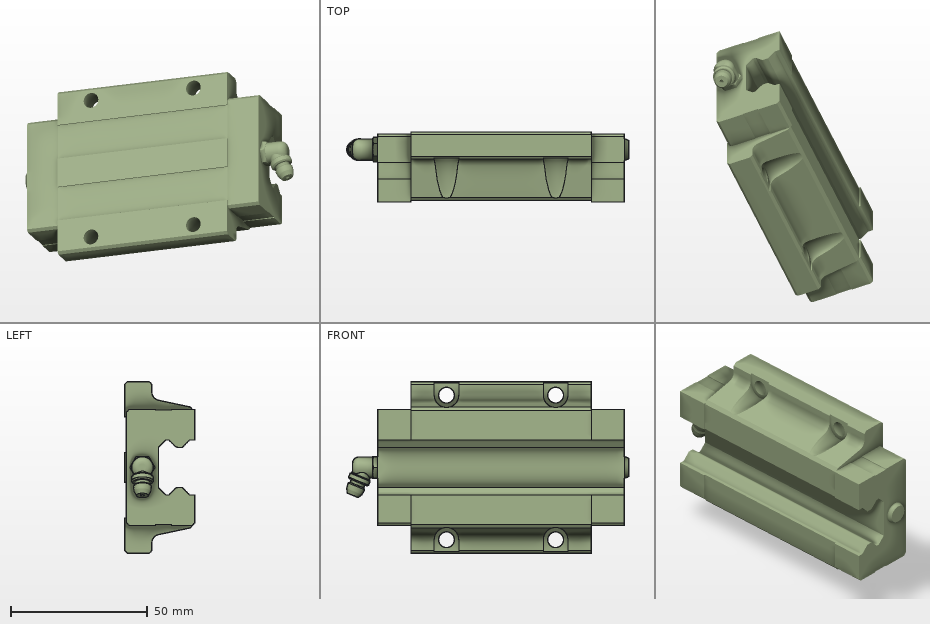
import cadquery as cq
import math


block_length = 66.2
block_depth = 25.2
flange_half_width = 31.5
flange_depth = 10.0
flange_chamfer = 1.0
flank_fillet = 3.0
flank_lean = 12.0
flank_edge_depth = 24.0
flank_edge_half_width = 22.2
front_half_width = 20.9

back_groove_inner = 5.5
back_groove_outer = 18.5
back_groove_depth = 0.5

hole_pitch_x = 40.0
hole_pitch_z = 53.0
hole_diameter = 5.7
seat_radius = 4.5
seat_depth = 9.6

overall_length = 90.5
cap_back_depth = 0.7
cap_front_depth = 25.7
cap_half_width = 21.3
cap_chamfer = 1.0
cap_recess_start = 11.3
cap_recess_end = 17.2
cap_recess = 0.3

slot_floor_depth = 12.4
slot_floor_half_width = 7.4
slot_half_width = 10.05
groove_depths = (15.1, 16.2)
tooth_half_width = 7.3
tooth_depths = (18.95, 21.1)
tooth_fillet = 1.7
mouth_depth = 23.8

fitting_depth = 6.5
hex_across_flats = 8.0
hex_height = 1.8
hex_chamfer_angle = 30.0
elbow_diameter = 7.85
elbow_length = 9.25
elbow_round = 2.5
nipple_tilt = 22.5
nipple_offset = 4.91
plug_height = 1.6
plug_base_radius = 4.0
plug_tip_radius = 3.3

shank_radius = 3.5
collar_radius = 4.0
collar_start = 3.5
collar_top = 3.9
collar_bottom = 5.4
collar_end = 5.9
neck_radius = 2.75
head_start = 7.0
head_start_radius = 2.85
head_radius = 3.3
head_top = 7.5
head_shoulder = 9.6
head_shoulder_radius = 3.0
nipple_end = 11.1
tip_radius = 2.2
bore_diameter = 1.4
bore_depth = 3.0


def extrude_along_x(profile, length):
    """Extrude a (depth, Z) closed profile symmetrically about X = 0."""
    plane = cq.Plane(origin=(0, 0, 0), xDir=(0, -1, 0), normal=(-1, 0, 0))
    return cq.Workplane(plane).polyline(profile).close().extrude(length / 2, both=True)


def mirrored_profile(upper_points):
    """Close an upper half outline with its mirror image below Z = 0."""
    return upper_points + [(depth, -z) for depth, z in reversed(upper_points)]


def fillet_x_edges(solid, depth, half_width, radius):
    """Round the mirrored pair of X edges at the given depth and half width."""
    for z in (half_width, -half_width):
        edge = cq.selectors.NearestToPointSelector((0, -depth, z))
        solid = solid.edges("|X").edges(edge).fillet(radius)
    return solid


def make_block():
    slope = math.tan(math.radians(flank_lean))
    corner_half_width = flank_edge_half_width + (flank_edge_depth - flange_depth) * slope
    outline = [
        (0, flange_half_width - flange_chamfer),
        (flange_chamfer, flange_half_width),
        (flange_depth - flange_chamfer, flange_half_width),
        (flange_depth, flange_half_width - flange_chamfer),
        (flange_depth, corner_half_width),
        (flank_edge_depth, flank_edge_half_width),
        (block_depth, front_half_width),
    ]
    block = extrude_along_x(mirrored_profile(outline), block_length)
    return fillet_x_edges(block, flange_depth, corner_half_width, flank_fillet)


def make_back_grooves():
    width = back_groove_outer - back_groove_inner
    center = (back_groove_outer + back_groove_inner) / 2
    return (
        cq.Workplane("XZ")
        .pushPoints([(0, center), (0, -center)])
        .rect(block_length, width)
        .extrude(back_groove_depth)
    )


def make_screw_cuts():
    """Through holes with round-ended seats that open to the sides of the flange."""
    holes = (
        cq.Workplane("XZ")
        .rect(hole_pitch_x, hole_pitch_z, forConstruction=True)
        .vertices()
        .circle(hole_diameter / 2)
        .extrude(flange_depth)
    )
    hole_z = hole_pitch_z / 2
    opening = flange_half_width - hole_z
    seats = cq.Workplane("XZ", origin=(0, -seat_depth, 0))
    for x in (-hole_pitch_x / 2, hole_pitch_x / 2):
        for side in (1, -1):
            seats = seats.moveTo(x, side * hole_z).circle(seat_radius).extrude(block_depth - seat_depth)
            seats = seats.moveTo(x, side * (hole_z + opening / 2)).rect(2 * seat_radius, opening)
            seats = seats.extrude(block_depth - seat_depth)
    return holes.union(seats)


def make_cap_body():
    """Full-length bar with the end cap section; the block covers its middle."""
    recessed = cap_half_width - cap_recess
    upper = [
        (cap_back_depth, cap_half_width - cap_chamfer),
        (cap_back_depth + cap_chamfer, cap_half_width),
        (cap_recess_start, cap_half_width),
        (cap_recess_start, recessed),
        (cap_recess_end, recessed),
        (cap_recess_end, cap_half_width),
        (cap_front_depth, cap_half_width),
    ]
    lower = [(depth, -z) for depth, z in reversed(upper[:-1])]
    lower_corner = [
        (cap_front_depth, -cap_half_width + cap_chamfer),
        (cap_front_depth - cap_chamfer, -cap_half_width),
    ]
    bar = extrude_along_x(upper + lower_corner + lower, overall_length)
    middle = cq.Workplane().box(block_length, 2 * cap_front_depth, 2 * cap_half_width)
    return bar.cut(middle)


def make_rail_slot():
    outline = [
        (slot_floor_depth, slot_floor_half_width),
        (groove_depths[0], slot_half_width),
        (groove_depths[1], slot_half_width),
        (tooth_depths[0], tooth_half_width),
        (tooth_depths[1], tooth_half_width),
        (mouth_depth, slot_half_width),
        (cap_front_depth, slot_half_width),
    ]
    slot = extrude_along_x(mirrored_profile(outline), overall_length)
    return fillet_x_edges(slot, tooth_depths[0], tooth_half_width, tooth_fillet)


def make_elbow():
    """Hexagon and round-ended elbow body, pointing to -X from the end cap."""
    face = cq.Plane(origin=(-overall_length / 2, -fitting_depth, 0), xDir=(0, 1, 0), normal=(-1, 0, 0))
    corner_diameter = hex_across_flats / math.cos(math.pi / 6)
    hexagon = cq.Workplane(face).polygon(6, corner_diameter).extrude(hex_height)
    chamfer_width = (corner_diameter - hex_across_flats) / 2
    chamfer_height = chamfer_width * math.tan(math.radians(hex_chamfer_angle))
    envelope = cq.Workplane(face).circle(corner_diameter / 2).extrude(hex_height)
    envelope = envelope.faces("<X").chamfer(chamfer_height, chamfer_width)
    elbow = cq.Workplane(face).circle(elbow_diameter / 2).extrude(elbow_length)
    elbow = elbow.faces("<X").edges().fillet(elbow_round)
    return hexagon.intersect(envelope).union(elbow)


def make_nipple():
    """Grease nipple turned about its own tilted axis, from inside the elbow outward."""
    tilt = math.radians(nipple_tilt)
    axis = cq.Vector(-math.sin(tilt), 0, -math.cos(tilt))
    outward = (math.cos(tilt), 0, -math.sin(tilt))
    pivot = (-overall_length / 2 - nipple_offset, -fitting_depth, 0)
    section = cq.Plane(origin=pivot, xDir=outward, normal=cq.Vector(*outward).cross(axis))
    fall = head_radius - head_shoulder_radius
    side_length = head_shoulder - head_top
    side_radius = (side_length**2 + fall**2) / (2 * fall)
    bulge_height = head_top + side_length / 2
    bulge_radius = head_radius - side_radius + math.sqrt(side_radius**2 - (side_length / 2) ** 2)
    nipple = (
        cq.Workplane(section)
        .lineTo(shank_radius, 0)
        .lineTo(shank_radius, collar_start)
        .lineTo(collar_radius, collar_top)
        .lineTo(collar_radius, collar_bottom)
        .lineTo(shank_radius, collar_end)
        .lineTo(neck_radius, collar_end)
        .lineTo(neck_radius, head_start)
        .lineTo(head_start_radius, head_start)
        .lineTo(head_radius, head_top)
        .threePointArc((bulge_radius, bulge_height), (head_shoulder_radius, head_shoulder))
        .lineTo(tip_radius, nipple_end)
        .lineTo(0, nipple_end)
        .close()
        .revolve(360, (0, 0), (0, 1))
    )
    bore = (
        cq.Workplane(section)
        .moveTo(0, nipple_end - bore_depth)
        .lineTo(bore_diameter / 2, nipple_end - bore_depth)
        .lineTo(bore_diameter / 2, nipple_end)
        .lineTo(0, nipple_end)
        .close()
        .revolve(360, (0, 0), (0, 1))
    )
    return nipple, bore


def make_plug():
    """Domed screw head on the +X end cap, a zone of a sphere centred on its axis."""
    center = (plug_base_radius**2 - plug_tip_radius**2 - plug_height**2) / (2 * plug_height)
    mid_height = plug_height / 2
    mid_radius = math.sqrt(plug_base_radius**2 + center**2 - (center + mid_height) ** 2)
    face = cq.Workplane("XY", origin=(overall_length / 2, -fitting_depth, 0))
    return (
        face.lineTo(0, plug_base_radius)
        .threePointArc((mid_height, mid_radius), (plug_height, plug_tip_radius))
        .lineTo(plug_height, 0)
        .close()
        .revolve(360, (0, 0), (1, 0))
    )


block = make_block().cut(make_back_grooves()).cut(make_screw_cuts())
carriage = block.union(make_cap_body()).cut(make_rail_slot())
nipple, nipple_bore = make_nipple()
result = carriage.union(make_elbow()).union(nipple).cut(nipple_bore).union(make_plug())